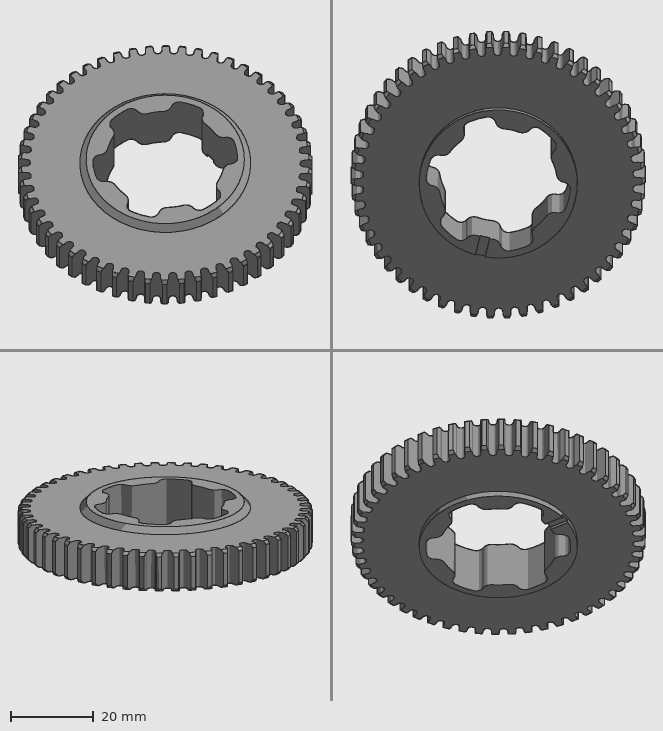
import cadquery as cq
import math

tooth_count = 54
tip_radius = 35.5
root_radius = 32.6
pitch_radius = 34.2
flank_foot_radius = 33.4
tip_gap_width = 3.05
pitch_gap_width = 2.05
foot_gap_width = 1.9
rim_height = 9.65
rim_chamfer = 0.8

hub_radius = 19.1
hub_height = 12.7

notch_width = 2.4
notch_depth = 0.8

slot_count = 6
bore_radius = 14.3
slot_radius = 17.5
slot_width = 8.0
slot_corner_radius = 1.9
land_corner_radius = 2.3
edge_tolerance = 0.001

rim_top = rim_height / 2
hub_top = hub_height / 2
cone_radius = hub_radius + hub_top - rim_top


def gear_body():
    """Turned blank: chamfered rim, conical upper hub, straight lower hub."""
    chamfer_radius = tip_radius - rim_chamfer
    chamfer_start = rim_top - rim_chamfer
    return (
        cq.Workplane("XZ")
        .moveTo(0, -hub_top)
        .lineTo(hub_radius, -hub_top)
        .lineTo(hub_radius, -rim_top)
        .lineTo(chamfer_radius, -rim_top)
        .lineTo(tip_radius, -chamfer_start)
        .lineTo(tip_radius, chamfer_start)
        .lineTo(chamfer_radius, rim_top)
        .lineTo(cone_radius, rim_top)
        .lineTo(hub_radius, hub_top)
        .lineTo(0, hub_top)
        .close()
        .revolve(360, (0, 0, 0), (0, 1, 0))
    )


def tooth_gaps():
    """Round-bottomed gaps, flaring above the pitch circle, placed so that a tooth lies on +X."""
    tip_half = tip_gap_width / 2
    pitch_half = pitch_gap_width / 2
    foot_half = foot_gap_width / 2
    clear_radius = tip_radius + rim_chamfer
    gap = (
        cq.Workplane("XY", origin=(0, 0, -rim_top))
        .moveTo(clear_radius, -tip_half)
        .lineTo(tip_radius, -tip_half)
        .lineTo(pitch_radius, -pitch_half)
        .lineTo(flank_foot_radius, -foot_half)
        .threePointArc((root_radius, 0), (flank_foot_radius, foot_half))
        .lineTo(pitch_radius, pitch_half)
        .lineTo(tip_radius, tip_half)
        .lineTo(clear_radius, tip_half)
        .close()
        .extrude(rim_height)
        .val()
    )
    pitch_angle = 360 / tooth_count
    gaps = cq.Workplane("XY")
    for index in range(tooth_count):
        gaps = gaps.add(gap.rotate((0, 0, 0), (0, 0, 1), (index + 0.5) * pitch_angle))
    return gaps


def round_corners(bore, corner_radius, fillet_radius):
    """Fillet the upright edges of the bore that stand at the given distance from the axis."""
    corners = []
    for edge in bore.edges("|Z").vals():
        center = edge.Center()
        if math.isclose(math.hypot(center.x, center.y), corner_radius, rel_tol=edge_tolerance):
            corners.append(edge)
    return bore.newObject(corners).fillet(fillet_radius)


def splined_bore():
    """Round bore with slots running through, corners rounded."""
    bottom = cq.Workplane("XY", origin=(0, 0, -hub_top))
    bore = bottom.circle(bore_radius).extrude(hub_height)
    slot_limit = bottom.circle(slot_radius).extrude(hub_height)
    slot_length = 2 * hub_radius
    for index in range(slot_count // 2):
        bar = cq.Workplane("XY").box(slot_length, slot_width, hub_height)
        bar = bar.rotate((0, 0, 0), (0, 0, 1), index * 360 / slot_count)
        bore = bore.union(bar.intersect(slot_limit))
    bore = round_corners(bore, bore_radius, land_corner_radius)
    return round_corners(bore, slot_radius, slot_corner_radius)


def hub_notch():
    """Radial notch through the +Y wall of the lower hub, open at its bottom face."""
    return (
        cq.Workplane("XY", origin=(0, 0, -hub_top))
        .box(notch_width, cone_radius, notch_depth, centered=(True, False, False))
    )


solid = gear_body().cut(splined_bore()).cut(hub_notch())
result = solid.newObject([solid.val().cut(*tooth_gaps().vals())])